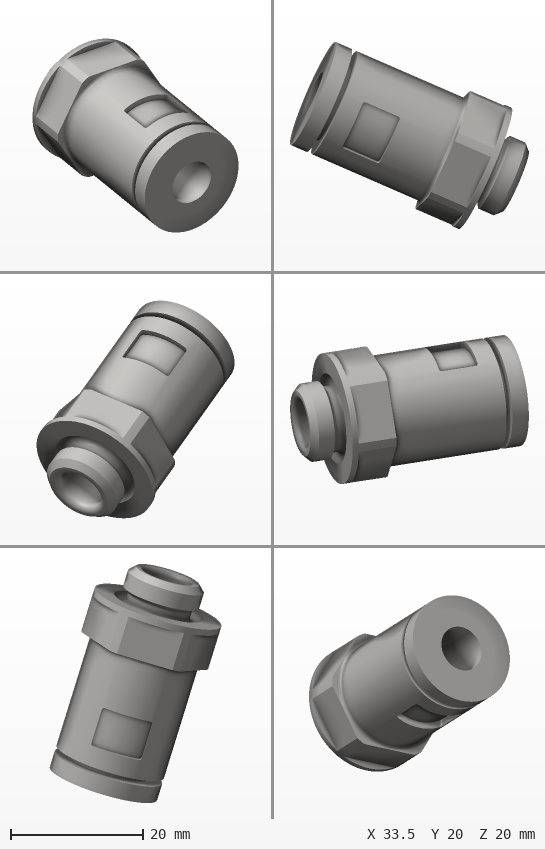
import cadquery as cq
import math

spigot_shoulder = 3.5
flange_front = 5.02
flange_thickness = 0.97
hex_length = 6.0
body_end = 29.98
cap_start = 30.9
total_length = 33.5

bore_diameter = 7.0
spigot_diameter = 12.0
nose_diameter = 10.0
neck_diameter = 10.15
flange_diameter = 20.0
body_diameter = 17.0
cap_groove_diameter = 12.5

bore_lip_radius = 1.0
body_fillet = 0.5
neck_fillet = 0.47
shoulder_angle = math.radians(60)

hex_across_flats = 18.0

seat_diameter = 13.87

window_start = 20.8
window_length = 6.15
window_width = 7.97
window_floor_diameter = 15.0
window_corner = 0.4

spigot_chamfer = (spigot_diameter - nose_diameter) / 2
hex_start = flange_front + flange_thickness
hex_end = hex_start + hex_length


def cylinder(diameter, start, end):
    """Solid cylinder on the X axis between two stations."""
    return cq.Workplane("YZ", origin=(start, 0, 0)).circle(diameter / 2).extrude(end - start)


def revolve_about_x(profile):
    """Full turn of a profile drawn as (station, radius) on the XY plane."""
    return profile.close().revolve(360, (0, 0, 0), (1, 0, 0))


def make_spigot():
    """Chamfered spigot that slopes and blends into a plain neck behind it."""
    radius = spigot_diameter / 2
    neck_radius = neck_diameter / 2
    cone_end_radius = neck_radius + neck_fillet * (1 - math.cos(shoulder_angle))
    cone_end = spigot_shoulder + (radius - cone_end_radius) / math.tan(shoulder_angle)
    neck_start = cone_end + neck_fillet * math.sin(shoulder_angle)
    fillet_middle = (
        neck_start - neck_fillet * math.sin(shoulder_angle / 2),
        neck_radius + neck_fillet * (1 - math.cos(shoulder_angle / 2)),
    )
    return revolve_about_x(
        cq.Workplane("XY")
        .moveTo(0, 0)
        .lineTo(0, nose_diameter / 2)
        .lineTo(spigot_chamfer, radius)
        .lineTo(spigot_shoulder, radius)
        .lineTo(cone_end, cone_end_radius)
        .threePointArc(fillet_middle, (neck_start, neck_radius))
        .lineTo(hex_start, neck_radius)
        .lineTo(hex_start, 0)
    )


def make_hexagon():
    """Hexagon with flats facing +Z and -Z, its corners turned to the flange diameter."""
    across_corners = hex_across_flats / math.cos(math.pi / 6)
    hexagon = cq.Workplane("YZ", origin=(hex_start, 0, 0)).polygon(6, across_corners).extrude(hex_length)
    return hexagon.intersect(cylinder(flange_diameter, hex_start, hex_end))


def make_body():
    """Round body, with a concave fillet where it leaves the hexagon."""
    radius = body_diameter / 2
    arc_offset = body_fillet * (1 - math.sqrt(0.5))
    return revolve_about_x(
        cq.Workplane("XY")
        .moveTo(hex_end, 0)
        .lineTo(hex_end, radius + body_fillet)
        .threePointArc((hex_end + arc_offset, radius + arc_offset), (hex_end + body_fillet, radius))
        .lineTo(body_end, radius)
        .lineTo(body_end, 0)
    )


def make_seal_seat():
    """Half-round ring groove in the flange face, directly around the neck."""
    inner = neck_diameter / 2
    outer = seat_diameter / 2
    groove_radius = (outer - inner) / 2
    return revolve_about_x(
        cq.Workplane("XY")
        .moveTo(flange_front, inner)
        .threePointArc((flange_front + groove_radius, inner + groove_radius), (flange_front, outer))
    )


def make_bore():
    """Through bore with a rounded lip at the threaded end."""
    radius = bore_diameter / 2
    arc_offset = bore_lip_radius * (1 - math.sqrt(0.5))
    return revolve_about_x(
        cq.Workplane("XY")
        .moveTo(0, 0)
        .lineTo(0, radius + bore_lip_radius)
        .threePointArc((arc_offset, radius + arc_offset), (bore_lip_radius, radius))
        .lineTo(total_length, radius)
        .lineTo(total_length, 0)
    )


def make_windows():
    """Rounded rectangles cut through from above and below, down to a round floor."""
    block = (
        cq.Workplane("XY", origin=(window_start + window_length / 2, 0, 0))
        .rect(window_length, window_width)
        .extrude(body_diameter / 2, both=True)
        .edges("|Z")
        .fillet(window_corner)
    )
    return block.cut(cylinder(window_floor_diameter, window_start, window_start + window_length))


result = (
    make_spigot()
    .union(cylinder(flange_diameter, flange_front, hex_start))
    .union(make_hexagon())
    .union(make_body())
    .union(cylinder(cap_groove_diameter, body_end, cap_start))
    .union(cylinder(body_diameter, cap_start, total_length))
    .cut(make_seal_seat())
    .cut(make_windows())
    .cut(make_bore())
)